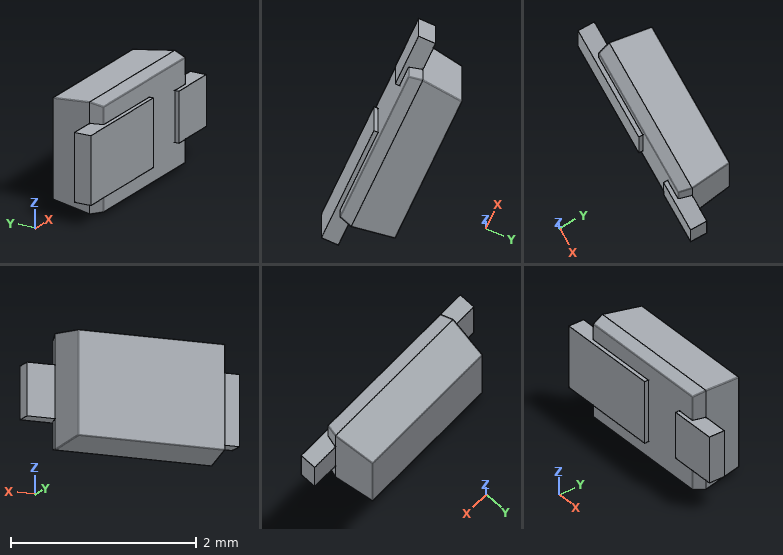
import cadquery as cq
import math

LENGTH = 2.5
DEPTH = 0.7

HOUSING_LENGTH = 1.85
HOUSING_HEIGHT = 1.3
STANDOFF = 0.05
BACK_DRAFT = 7.0
FRONT_DRAFT = 15.0
EDGE_RADIUS = 0.01

LEAD_THICKNESS = 0.202
LARGE_LEAD_LENGTH = 1.35
LARGE_LEAD_HEIGHT = 0.805
SMALL_LEAD_LENGTH = 0.6
SMALL_LEAD_HEIGHT = 0.6

PARTING_Y = LEAD_THICKNESS
FRONT_HALF_DEPTH = PARTING_Y - STANDOFF
BACK_HALF_DEPTH = DEPTH - PARTING_Y


def housing_half(depth, draft, toward_back):
    """Tapered half of the housing, widest on the parting plane."""
    direction = 1 if toward_back else -1
    plane = cq.Plane(origin=(0, PARTING_Y, 0), xDir=(1, 0, 0), normal=(0, direction, 0))
    inset = depth * math.tan(math.radians(draft))
    return (
        cq.Workplane(plane)
        .rect(HOUSING_LENGTH, HOUSING_HEIGHT)
        .workplane(offset=depth)
        .rect(HOUSING_LENGTH - 2 * inset, HOUSING_HEIGHT - 2 * inset)
        .loft(ruled=True)
    )


def round_edges(housing):
    """Round every housing edge except the sharp outline on the parting plane."""
    def is_off_parting(edge):
        return abs(edge.Center().y - PARTING_Y) > EDGE_RADIUS

    return housing.newObject(
        [edge for edge in housing.edges().vals() if is_off_parting(edge)]
    ).fillet(EDGE_RADIUS)


def make_lead(length, height, side):
    """Flat lead whose outer end is at the -X (side = -1) or +X (side = 1) extreme."""
    center_x = side * (LENGTH - length) / 2
    return cq.Workplane("XY").box(length, LEAD_THICKNESS, height).translate(
        (center_x, LEAD_THICKNESS / 2, 0)
    )


def make_housing(leads):
    """Both tapered halves joined and rounded, with a matching recess for each lead."""
    housing = housing_half(BACK_HALF_DEPTH, BACK_DRAFT, True).union(
        housing_half(FRONT_HALF_DEPTH, FRONT_DRAFT, False)
    )
    housing = round_edges(housing)
    for lead in leads:
        housing = housing.cut(lead)
    return housing.solids()


large_lead = make_lead(LARGE_LEAD_LENGTH, LARGE_LEAD_HEIGHT, -1)
small_lead = make_lead(SMALL_LEAD_LENGTH, SMALL_LEAD_HEIGHT, 1)
housing = make_housing([large_lead, small_lead])

result = cq.Compound.makeCompound([housing.val(), large_lead.val(), small_lead.val()])